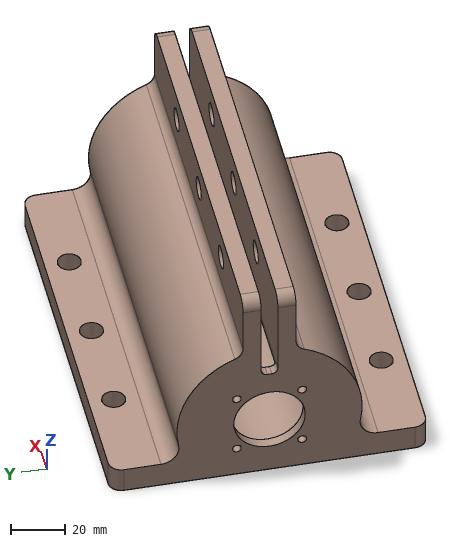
import cadquery as cq
import math

length = 154.3
base_width = 120.0
total_height = 85.0

base_thickness = 10.3
barrel_radius = 35.0
axis_height = 25.0
base_fillet = 6.8
corner_radius = 5.0

fins_width = 20.0
fin_fillet = 5.0
slot_width = 6.3
slot_floor_above_axis = 22.5
slot_floor_fillet = 2.3

bore_radius = 24.0
end_wall_thickness = 4.0
opening_diameter = 27.0
screw_hole_diameter = 3.2
screw_hole_spacing = 24.7

bolt_hole_diameter = 8.8
bolt_pitch = 38.5
bolt_positions = [length / 2 + step * bolt_pitch for step in (-1, 0, 1)]
flange_hole_offset = 50.6
fin_hole_height = 73.6


def make_profile():
    """Cross section in the YZ plane, with tangent fillets beside the barrel."""
    half_base = base_width / 2
    half_fins = fins_width / 2

    base_center_z = base_thickness + base_fillet
    base_reach = barrel_radius + base_fillet
    base_center_y = math.sqrt(base_reach**2 - (axis_height - base_center_z) ** 2)
    fin_center_y = half_fins + fin_fillet
    fin_reach = barrel_radius + fin_fillet
    fin_center_z = axis_height + math.sqrt(fin_reach**2 - fin_center_y**2)

    def barrel_point(center_y, center_z):
        """Point where a fillet touches the barrel."""
        angle = math.atan2(center_z - axis_height, center_y)
        return (barrel_radius * math.cos(angle), axis_height + barrel_radius * math.sin(angle))

    base_tangent = barrel_point(base_center_y, base_center_z)
    fin_tangent = barrel_point(fin_center_y, fin_center_z)

    def fillet_middle(center, start, end, radius):
        """Middle point of the fillet arc from start to end."""
        toward_y = start[0] + end[0] - 2 * center[0]
        toward_z = start[1] + end[1] - 2 * center[1]
        scale = radius / math.hypot(toward_y, toward_z)
        return (center[0] + toward_y * scale, center[1] + toward_z * scale)

    base_start = (base_center_y, base_thickness)
    fin_end = (half_fins, fin_center_z)
    base_middle = fillet_middle((base_center_y, base_center_z), base_start, base_tangent, base_fillet)
    fin_middle = fillet_middle((fin_center_y, fin_center_z), fin_tangent, fin_end, fin_fillet)

    return (
        cq.Workplane("YZ")
        .moveTo(0, 0)
        .lineTo(half_base, 0)
        .lineTo(half_base, base_thickness)
        .lineTo(*base_start)
        .threePointArc(base_middle, base_tangent)
        .threePointArc((barrel_radius, axis_height), fin_tangent)
        .threePointArc(fin_middle, fin_end)
        .lineTo(half_fins, total_height)
        .lineTo(0, total_height)
        .mirrorY()
    )


def round_corners(body):
    """Round the plan corners of the base and the upper corners of the fins."""
    body = body.intersect(
        cq.Workplane("XY")
        .rect(length, base_width)
        .extrude(total_height)
        .edges("|Z")
        .fillet(corner_radius)
        .translate((length / 2, 0, 0))
    )
    return body.edges("|Y and >Z").fillet(corner_radius)


def make_slot():
    """Full-length slot between the fins with rounded floor corners."""
    floor_height = axis_height + slot_floor_above_axis
    return (
        cq.Workplane("XY", origin=(length / 2, 0, floor_height))
        .rect(length, slot_width)
        .extrude(total_height - floor_height)
        .edges("|X and <Z")
        .fillet(slot_floor_fillet)
    )


def make_bore():
    """Large bore, end-wall opening and the four screw holes around it."""
    end_face = cq.Workplane("YZ", origin=(0, 0, axis_height))
    bore = end_face.workplane(offset=end_wall_thickness).circle(bore_radius).extrude(length - end_wall_thickness)
    opening = end_face.circle(opening_diameter / 2).extrude(length)
    screw_holes = (
        end_face.rect(screw_hole_spacing, screw_hole_spacing, forConstruction=True)
        .vertices()
        .circle(screw_hole_diameter / 2)
        .extrude(length)
    )
    return bore.union(opening).union(screw_holes)


def make_bolt_holes():
    """Vertical holes through both flanges and cross holes through the fins."""
    flange_points = [(x, side * flange_hole_offset) for x in bolt_positions for side in (-1, 1)]
    fin_points = [(x, fin_hole_height) for x in bolt_positions]
    radius = bolt_hole_diameter / 2
    flange_holes = cq.Workplane("XY").pushPoints(flange_points).circle(radius).extrude(base_thickness)
    fin_holes = cq.Workplane("XZ").pushPoints(fin_points).circle(radius).extrude(fins_width / 2, both=True)
    return flange_holes.union(fin_holes)


body = round_corners(make_profile().extrude(length))
result = body.cut(make_slot()).cut(make_bore()).cut(make_bolt_holes())